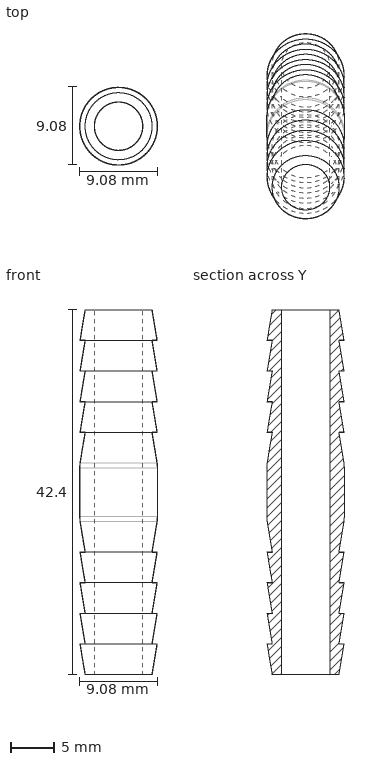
import cadquery as cq

total_length = 42.4
collar_diameter = 9.08
bore_diameter = 5.6

barbs_per_end = 5
barb_pitch = 3.55
barb_tip_diameter = 7.8
barb_root_diameter = 9.0

collar_length = total_length - 2 * barbs_per_end * barb_pitch
collar_band_length = 0.55

half_collar = collar_length / 2
half_length = total_length / 2
tip_radius = barb_tip_diameter / 2
root_radius = barb_root_diameter / 2
collar_radius = collar_diameter / 2
bore_radius = bore_diameter / 2


def upper_outline():
    """Outer radius and height points from the collar up to the free end."""
    points = [(collar_radius, half_collar - collar_band_length)]
    for index in range(barbs_per_end):
        root_height = half_collar + index * barb_pitch
        points.append((root_radius, root_height))
        points.append((tip_radius, root_height + barb_pitch))
    return points


def wall_profile():
    """Closed section of the tube wall, symmetric about mid-length."""
    upper = upper_outline()
    lower = [(radius, -height) for radius, height in reversed(upper)]
    bore = [(bore_radius, half_length), (bore_radius, -half_length)]
    return lower + upper + bore


result = (
    cq.Workplane("XZ")
    .polyline(wall_profile())
    .close()
    .revolve(360, (0, 0, 0), (0, 1, 0))
)